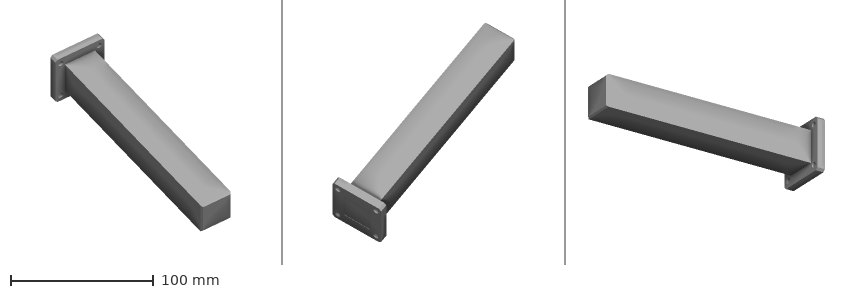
import cadquery as cq

overall_length = 177.8
flange_side = 41.4
flange_thickness = 6.35
flange_corner_chamfer = 1.8
bar_side = 25.4
bar_end_chamfer = 1.27
hole_diameter = 4.37
hole_spacing_y = 32.5
hole_spacing_z = 31.0
recess_depth = 0.254

recess_side = bar_side - 2 * bar_end_chamfer


def square_block(side, start_x, end_x):
    """Square block centred on the X axis, from start_x to end_x."""
    return cq.Workplane("YZ", origin=(start_x, 0, 0)).rect(side, side).extrude(end_x - start_x)


def make_flange():
    """Square mounting flange with chamfered corners and four through holes."""
    plate = square_block(flange_side, 0, flange_thickness)
    plate = plate.edges("|X").chamfer(flange_corner_chamfer)
    holes = (
        cq.Workplane("YZ")
        .rect(hole_spacing_y, hole_spacing_z, forConstruction=True)
        .vertices()
        .circle(hole_diameter / 2)
        .extrude(flange_thickness)
    )
    return plate.cut(holes)


def make_bar():
    """Square bar standing on the flange, with its free end chamfered all round."""
    bar = square_block(bar_side, flange_thickness, overall_length)
    return bar.faces(">X").chamfer(bar_end_chamfer)


def make_recess():
    """Shallow square recess sunk into the middle of the mounting face."""
    return square_block(recess_side, 0, recess_depth)


result = make_flange().union(make_bar()).cut(make_recess())